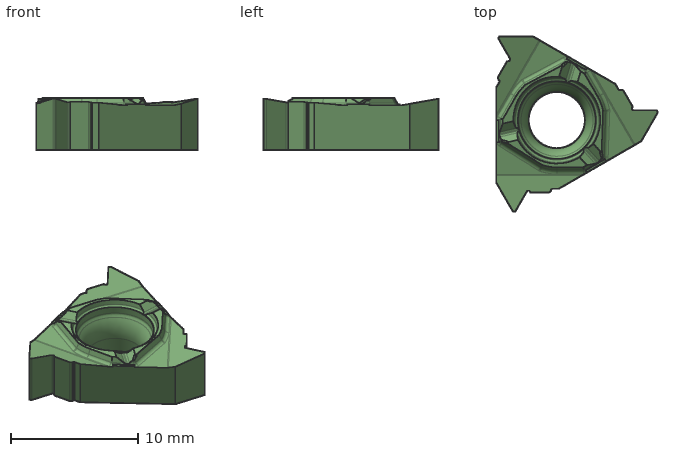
import cadquery as cq
import math

CORNERS = 3
INDEX_ANGLE = 360 / CORNERS
INSERT_HEIGHT = 4.1
INSCRIBED_RADIUS = 9.525 / 2

TOOTH_HALF_ANGLE = 30
TOOTH_APEX_X = -3.355
TOOTH_APEX_Y = -7.361
TOOTH_TIP_Y = -7.194
TOOTH_TIP_RADIUS = 0.09

ROOT_Y = -5.56
ROOT_WIDTH = 0.17
ROOT_FILLET = 0.08
CREST_Y = -5.7
CREST_START_X = -2.07
CREST_END_X = -0.58
CREST_FILLET = 0.18
STEP_BEVEL_X = -0.44
STEP_Y = -5.41
STEP_START_X = -0.35
STEP_BEVEL_DROP = 0.06

FLOOR_Z = 3.53
RAKE_ANGLE = 10
RAKE_START = 4.31
RAKE_BLEND_RADIUS = 0.5

RING_RADIUS = 3.71
RING_CHORD_OFFSET = 3.605
RING_CHORD_TILT = 32
RING_SIDE_OFFSET = 4.25
RING_WALL_ANGLE = 28
RING_BASE_FILLET = 0.35

GROOVE_ANGLE = 193
GROOVE_SIDE_SHIFT = 0.07
GROOVE_FLANK_ANGLE = 36
GROOVE_BOTTOM_RADIUS = 0.27
GROOVE_FLAT_HALF_WIDTH = 0.035
GROOVE_BOTTOM_Z = 3.64
GROOVE_START = 2.7

RELIEF_START = (-3.88, -1.683, 4.04)
RELIEF_RUN = (-0.53, 0.129)
RELIEF_SLOPE_X = 0.35
RELIEF_SLOPE_Y = 0.05

SIDE_LEDGE_Z = 3.6
SIDE_LEDGE_START_Y = -1.74
SIDE_LEDGE_END_Y = 0.0

HOLE_RADIUS = 4.4 / 2
BOWL_BOTTOM_Z = 1.27
BOWL_TOP_RADIUS = 2.83
BOWL_TOP_Z = 2.85
SEAT_WALL_RADIUS = 3.0
SEAT_WALL_Z = 3.14
LEDGE_INNER_RADIUS = 3.06
LEDGE_Z = 3.65
LEDGE_OUTER_RADIUS = 3.12
RIM_WALL_RADIUS = 3.3
RIM_WALL_Z = 3.775
RIM_RADIUS = 3.42

CLEARANCE = 1.0
STOCK_RADIUS = 10.0


def rotated(point, angle):
    """Turn an XY point about the insert axis by an angle in degrees."""
    a = math.radians(angle)
    x, y = point
    return (x * math.cos(a) - y * math.sin(a), x * math.sin(a) + y * math.cos(a))


def polar(radius, angle):
    return rotated((radius, 0), angle)


def line_crossing(offset_a, angle_a, offset_b, angle_b):
    """Meeting point of two lines, each given by its distance from the axis and normal angle."""
    a = math.radians(angle_a)
    b = math.radians(angle_b)
    det = math.sin(b - a)
    x = (offset_a * math.sin(b) - offset_b * math.sin(a)) / det
    y = (offset_b * math.cos(a) - offset_a * math.cos(b)) / det
    return (x, y)


def repeated(solid):
    """The solid copied to all three corners."""
    copies = solid
    for i in range(1, CORNERS):
        copies = copies.union(solid.rotate((0, 0, 0), (0, 0, 1), i * INDEX_ANGLE))
    return copies


def round_upright_edge(prism, point, radius):
    """Fillet the upright edge at an outline point, on every corner of the insert."""
    for i in range(CORNERS):
        x, y = rotated(point, i * INDEX_ANGLE)
        nearest = cq.selectors.NearestToPointSelector((x, y, INSERT_HEIGHT / 2))
        prism = prism.edges("|Z").edges(nearest).fillet(radius)
    return prism


def edge_prism():
    """Full-height prism of the outline: flat sides, tooth points and stepped edges."""
    half_angle = math.radians(TOOTH_HALF_ANGLE)
    slope = 1 / math.tan(half_angle)
    tip_half_width = (TOOTH_TIP_Y - TOOTH_APEX_Y) / slope
    tip_turn = math.pi / 2 - half_angle
    tip_flat_half = tip_half_width - TOOTH_TIP_RADIUS * math.tan(tip_turn / 2)

    def tip_arc(side):
        """Start, middle and end of one rounded tip corner, from the flank to the flat tip."""
        points = []
        for turn in (tip_turn, tip_turn / 2, 0):
            x = TOOTH_APEX_X + side * (tip_flat_half + TOOTH_TIP_RADIUS * math.sin(turn))
            y = TOOTH_TIP_Y + TOOTH_TIP_RADIUS * (1 - math.cos(turn))
            points.append((x, y))
        return points

    side_corner = (-INSCRIBED_RADIUS, TOOTH_APEX_Y + (TOOTH_APEX_X + INSCRIBED_RADIUS) * slope)
    root_x = TOOTH_APEX_X + (ROOT_Y - TOOTH_APEX_Y) / slope
    next_side_angle = 180 + INDEX_ANGLE
    step_end = line_crossing(-STEP_Y, -90, INSCRIBED_RADIUS, next_side_angle)
    tip_arcs = [tip_arc(-1), tip_arc(1)[::-1]]
    stepped_edge = [
        (root_x, ROOT_Y),
        (root_x + ROOT_WIDTH, ROOT_Y),
        (CREST_START_X, CREST_Y),
        (CREST_END_X, CREST_Y),
        (STEP_BEVEL_X, ROOT_Y),
        (STEP_BEVEL_X, STEP_Y - STEP_BEVEL_DROP),
        (STEP_START_X, STEP_Y),
        step_end,
    ]
    outline = cq.Workplane("XY").moveTo(*side_corner)
    for i in range(CORNERS):
        turn = i * INDEX_ANGLE
        if i > 0:
            outline = outline.lineTo(*rotated(side_corner, turn))
        for arc in tip_arcs:
            arc_start, arc_middle, arc_end = [rotated(point, turn) for point in arc]
            outline = outline.lineTo(*arc_start).threePointArc(arc_middle, arc_end)
        for point in stepped_edge:
            outline = outline.lineTo(*rotated(point, turn))
    prism = outline.close().extrude(INSERT_HEIGHT)
    prism = round_upright_edge(prism, (root_x, ROOT_Y), ROOT_FILLET)
    prism = round_upright_edge(prism, (root_x + ROOT_WIDTH, ROOT_Y), ROOT_FILLET)
    return round_upright_edge(prism, (CREST_END_X, CREST_Y), CREST_FILLET)


def ring_outline():
    """Top outline of the ring: per corner a chord, an arc about the axis and a tangent line."""
    chord_angle = -90 - RING_CHORD_TILT
    arc_end_angle = -90
    arc_start_angle = chord_angle + math.degrees(math.acos(RING_CHORD_OFFSET / RING_RADIUS))
    chord_start = line_crossing(RING_SIDE_OFFSET, -180, RING_CHORD_OFFSET, chord_angle)
    arc_middle = polar(RING_RADIUS, (arc_start_angle + arc_end_angle) / 2)
    tangent_end = line_crossing(RING_RADIUS, -90, RING_SIDE_OFFSET, -180 + INDEX_ANGLE)
    outline = cq.Workplane("XY").moveTo(*chord_start)
    for i in range(CORNERS):
        turn = i * INDEX_ANGLE
        if i > 0:
            outline = outline.lineTo(*rotated(chord_start, turn))
        outline = outline.lineTo(*rotated(polar(RING_RADIUS, arc_start_angle), turn))
        outline = outline.threePointArc(rotated(arc_middle, turn), polar(RING_RADIUS, arc_end_angle + turn))
        outline = outline.lineTo(*rotated(tangent_end, turn))
    return outline.close()


def floor_and_ring():
    """Flat chip floor with the ring standing on it, its sloped wall blended into the floor."""
    ring_height = INSERT_HEIGHT - FLOOR_Z
    ring = ring_outline().extrude(ring_height, taper=-RING_WALL_ANGLE)
    ring = ring.mirror("XY").translate((0, 0, INSERT_HEIGHT))
    stock = cq.Workplane("XY").circle(STOCK_RADIUS).extrude(FLOOR_Z).union(ring)
    floor_face = max(stock.faces("|Z").faces(">Z[-2]").vals(), key=lambda face: face.Area())
    foot_edges = floor_face.innerWires()[0].Edges()
    return stock.newObject(foot_edges).fillet(RING_BASE_FILLET)


def rake_wedge():
    """Material above the floor under one rake face, with a round where it leaves the floor."""
    rise = math.tan(math.radians(RAKE_ANGLE))
    tangent = RAKE_BLEND_RADIUS * math.tan(math.radians(RAKE_ANGLE / 2))
    half = math.radians(RAKE_ANGLE / 2)
    blend_start = (-RAKE_START + tangent, FLOOR_Z)
    blend_middle = (
        blend_start[0] - RAKE_BLEND_RADIUS * math.sin(half),
        FLOOR_Z + RAKE_BLEND_RADIUS * (1 - math.cos(half)),
    )
    blend_end = (
        -RAKE_START - tangent * math.cos(2 * half),
        FLOOR_Z + tangent * math.sin(2 * half),
    )
    far_y = TOOTH_APEX_Y - CLEARANCE
    return (
        cq.Workplane("YZ")
        .moveTo(*blend_start)
        .threePointArc(blend_middle, blend_end)
        .lineTo(far_y, FLOOR_Z + (-RAKE_START - far_y) * rise)
        .lineTo(far_y, FLOOR_Z - CLEARANCE)
        .lineTo(blend_start[0], FLOOR_Z - CLEARANCE)
        .close()
        .extrude(STOCK_RADIUS, both=True)
    )


def ring_groove():
    """V-groove with a narrow flat bottom and rounded bottom corners, running outward across the ring."""
    flank = math.radians(GROOVE_FLANK_ANGLE)
    top_z = INSERT_HEIGHT + CLEARANCE

    def corner_point(turn):
        """Point on the bottom round where the profile has turned by the given angle."""
        x = GROOVE_FLAT_HALF_WIDTH + GROOVE_BOTTOM_RADIUS * math.sin(turn)
        z = GROOVE_BOTTOM_Z + GROOVE_BOTTOM_RADIUS * (1 - math.cos(turn))
        return (x, z)

    flat_end = corner_point(0)
    arc_middle = corner_point(flank / 2)
    arc_end = corner_point(flank)
    top_half_width = arc_end[0] + (top_z - arc_end[1]) / math.tan(flank)
    profile = (
        cq.Workplane("YZ")
        .moveTo(-top_half_width, top_z)
        .lineTo(-arc_end[0], arc_end[1])
        .threePointArc((-arc_middle[0], arc_middle[1]), (-flat_end[0], flat_end[1]))
        .lineTo(*flat_end)
        .threePointArc(arc_middle, arc_end)
        .lineTo(top_half_width, top_z)
        .close()
    )
    groove = profile.extrude(INSCRIBED_RADIUS + CLEARANCE - GROOVE_START)
    groove = groove.translate((GROOVE_START, GROOVE_SIDE_SHIFT, 0))
    return groove.rotate((0, 0, 0), (0, 0, 1), GROOVE_ANGLE)


def corner_relief():
    """Block whose sloped underside bevels the corner where a groove meets the ring wall."""
    run_x, run_y = RELIEF_RUN
    run_z = run_x * RELIEF_SLOPE_X + run_y * RELIEF_SLOPE_Y
    bevel = cq.Plane(
        origin=RELIEF_START,
        xDir=(run_x, run_y, run_z),
        normal=(-RELIEF_SLOPE_X, -RELIEF_SLOPE_Y, 1),
    )
    return cq.Workplane(bevel).box(CLEARANCE, CLEARANCE, CLEARANCE, centered=(False, True, False))


def side_ledge():
    """Strip of raised floor along a flat side, running under the ring wall."""
    return cq.Workplane("XY").box(
        INSCRIBED_RADIUS + CLEARANCE - RING_SIDE_OFFSET,
        SIDE_LEDGE_END_Y - SIDE_LEDGE_START_Y,
        SIDE_LEDGE_Z,
        centered=False,
    ).translate((-INSCRIBED_RADIUS - CLEARANCE, SIDE_LEDGE_START_Y, 0))


def screw_hole():
    """Through hole with a flared bowl, a steep seat wall, a narrow ledge and a sloped rim."""
    flare_width = BOWL_TOP_RADIUS - HOLE_RADIUS
    flare_height = BOWL_TOP_Z - BOWL_BOTTOM_Z
    flare_radius = (flare_width ** 2 + flare_height ** 2) / (2 * flare_width)
    half_sweep = math.asin(flare_height / flare_radius) / 2
    flare_middle = (
        HOLE_RADIUS + flare_radius * (1 - math.cos(half_sweep)),
        BOWL_BOTTOM_Z + flare_radius * math.sin(half_sweep),
    )
    flare_direction = (math.sin(2 * half_sweep), math.cos(2 * half_sweep))
    return (
        cq.Workplane("XZ")
        .moveTo(0, -CLEARANCE)
        .lineTo(HOLE_RADIUS, -CLEARANCE)
        .lineTo(HOLE_RADIUS, BOWL_BOTTOM_Z)
        .threePointArc(flare_middle, (BOWL_TOP_RADIUS, BOWL_TOP_Z))
        .spline([(SEAT_WALL_RADIUS, SEAT_WALL_Z)], tangents=[flare_direction, (0, 1)], includeCurrent=True)
        .lineTo(LEDGE_INNER_RADIUS, LEDGE_Z)
        .lineTo(LEDGE_OUTER_RADIUS, LEDGE_Z)
        .tangentArcPoint((RIM_WALL_RADIUS, RIM_WALL_Z), relative=False)
        .lineTo(RIM_RADIUS, INSERT_HEIGHT)
        .lineTo(RIM_RADIUS, INSERT_HEIGHT + CLEARANCE)
        .lineTo(0, INSERT_HEIGHT + CLEARANCE)
        .close()
        .revolve(360, (0, 0, 0), (0, 1, 0))
    )


top_form = floor_and_ring().union(repeated(side_ledge()))
top_form = top_form.cut(repeated(ring_groove())).cut(repeated(corner_relief()))
top_form = top_form.union(repeated(rake_wedge()))
result = edge_prism().intersect(top_form).cut(screw_hole())